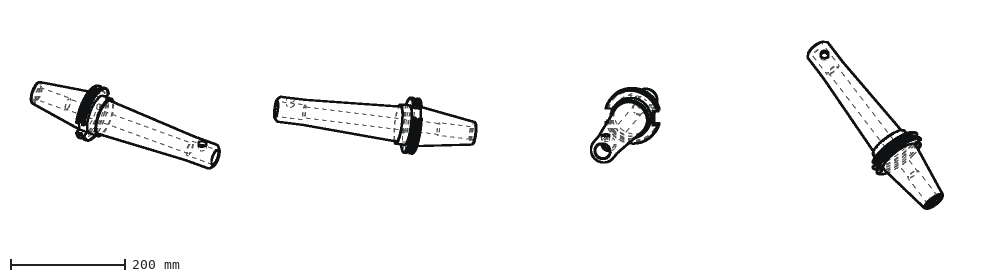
import cadquery as cq

total_length = 355.5

taper_length = 101.7
taper_small_diameter = 40.2
gauge_diameter = 70.0
taper_end_chamfer = 1.8

flange_start = 104.5
flange_end = 120.5
flange_diameter = 97.5
flange_edge_chamfer = 1.0
groove_center = 112.5
groove_floor_width = 3.5
groove_depth = 4.3
groove_mouth_width = 8.0

drive_slot_width = 25.5
slot_floor_front = 35.5
slot_floor_back = 37.7

collar_diameter = 69.7
collar_end = 136.2
neck_diameter = 62.0
nose_start = 306.0
nose_diameter = 44.5
nose_chamfer = 5.5
nose_edge_blend = 2.0

through_diameter = 19.2
thread_diameter = 22.0
thread_depth = 64.0
pilot_diameter = 26.5
pilot_depth = 5.7
pilot_chamfer = 1.0
tool_bore_diameter = 26.3
tool_bore_depth = 50.5
tool_bore_chamfer = 1.0

screw_hole_diameter = 14.2
screw_hole_position = 330.0


def make_body():
    """Revolve the outer profile, given as (x, radius) points, around X."""
    small_radius = taper_small_diameter / 2
    gauge_radius = gauge_diameter / 2
    flange_radius = flange_diameter / 2
    collar_radius = collar_diameter / 2
    nose_radius = nose_diameter / 2
    flange_edge_radius = flange_radius - flange_edge_chamfer
    groove_radius = flange_radius - groove_depth
    profile = [
        (0, 0),
        (0, small_radius - taper_end_chamfer),
        (taper_end_chamfer, small_radius),
        (taper_length, gauge_radius),
        (flange_start, gauge_radius),
        (flange_start, flange_edge_radius),
        (flange_start + flange_edge_chamfer, flange_radius),
        (groove_center - groove_mouth_width / 2, flange_radius),
        (groove_center - groove_floor_width / 2, groove_radius),
        (groove_center + groove_floor_width / 2, groove_radius),
        (groove_center + groove_mouth_width / 2, flange_radius),
        (flange_end - flange_edge_chamfer, flange_radius),
        (flange_end, flange_edge_radius),
        (flange_end, collar_radius),
        (collar_end, collar_radius),
        (collar_end, neck_diameter / 2),
        (nose_start, nose_radius),
        (total_length - nose_chamfer, nose_radius),
        (total_length, nose_radius - nose_chamfer),
        (total_length, 0),
    ]
    body = cq.Workplane("XY").polyline(profile).close().revolve(360, (0, 0, 0), (1, 0, 0))
    nose_edges = cq.selectors.BoxSelector(
        (total_length - 2 * nose_chamfer, -nose_diameter, -nose_diameter),
        (total_length + nose_chamfer, nose_diameter, nose_diameter),
    )
    return body.edges(nose_edges).edges("%CIRCLE").fillet(nose_edge_blend)


def axial_bore(start, length, diameter):
    """Cylinder along X; a negative length points towards -X."""
    return cq.Workplane("YZ", origin=(start, 0, 0)).circle(diameter / 2).extrude(length)


def mouth_chamfer(start, size, diameter):
    """Cone widening a bore mouth; a negative size points towards -X."""
    mouth = cq.Workplane("YZ", origin=(start, 0, 0)).circle(diameter / 2 + abs(size))
    return mouth.workplane(offset=size).circle(diameter / 2).loft()


def drive_slot(side, floor):
    """Slot across the flange on the given Y side, down to a flat floor."""
    depth = flange_diameter / 2 - floor
    slot_center = side * (floor + depth / 2)
    slot = cq.Workplane("XY").box(flange_end - flange_start, depth, drive_slot_width)
    return slot.translate(((flange_start + flange_end) / 2, slot_center, 0))


def screw_hole():
    """Radial hole from the top of the nose to the tool bore."""
    plane = cq.Workplane("XY", origin=(screw_hole_position, 0, 0))
    return plane.circle(screw_hole_diameter / 2).extrude(nose_diameter)


result = (
    make_body()
    .cut(drive_slot(-1, slot_floor_front))
    .cut(drive_slot(1, slot_floor_back))
    .cut(axial_bore(0, total_length, through_diameter))
    .cut(axial_bore(0, thread_depth, thread_diameter))
    .cut(axial_bore(0, pilot_depth, pilot_diameter))
    .cut(mouth_chamfer(0, pilot_chamfer, pilot_diameter))
    .cut(axial_bore(total_length, -tool_bore_depth, tool_bore_diameter))
    .cut(mouth_chamfer(total_length, -tool_bore_chamfer, tool_bore_diameter))
    .cut(screw_hole())
)